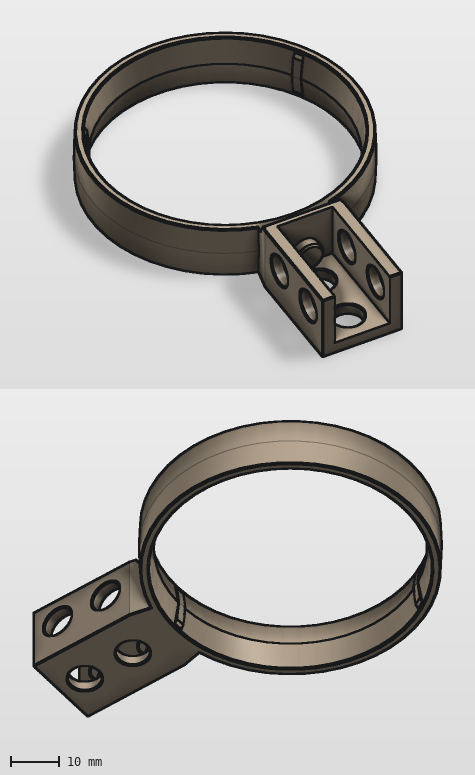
import cadquery as cq

RING_HEIGHT = 12.5
MID_HEIGHT = RING_HEIGHT / 2
OUTER_RADIUS_MID = 31.22
OUTER_RADIUS_END = 31.0
INNER_RADIUS_MID = 28.1
INNER_RADIUS_END = 29.2
EDGE_CHAMFER = 0.3

RIB_COUNT = 3
RIB_WIDTH = 2.2
RIB_RADIUS_MID = 27.9
RIB_RADIUS_END = 28.45
RIB_FACE_HEIGHT = 9.1
RIB_FULL_HEIGHT = 11.1
RIB_ROOT_RADIUS = 29

TOTAL_LENGTH = 90.6
CLEVIS_START = 34.4
CLEVIS_END = TOTAL_LENGTH - OUTER_RADIUS_MID
CLEVIS_WIDTH = 18.7
CLEVIS_HEIGHT = 15.6
WALL_THICKNESS = 2.9
CLEVIS_CHAMFER = 0.2
SLOT_START = 34.5
SLOT_WIDTH = CLEVIS_WIDTH - 2 * WALL_THICKNESS

NECK_ROOT = 29.9
NECK_ROOT_WIDTH = 16.7
STEP_START = 31.3
STEP_END = 33.2

HOLE_DIAMETER = 7.0
HOLE_SPACING = 12.4
FIRST_HOLE_X = 40.7
ARM_HOLE_Z = 9.3

BOSS_DIAMETER = 6.4
BOSS_LENGTH = 2.5
BOSS_CHAMFER = 0.45


def double_cone(radius_mid, radius_end):
    """Solid as tall as the ring whose radius changes linearly to mid height and back."""
    return (
        cq.Workplane("XZ")
        .polyline([
            (0, 0),
            (radius_end, 0),
            (radius_mid, MID_HEIGHT),
            (radius_end, RING_HEIGHT),
            (0, RING_HEIGHT),
        ])
        .close()
        .revolve(360, (0, 0), (0, 1))
    )


def ring_body():
    return double_cone(OUTER_RADIUS_MID, OUTER_RADIUS_END).faces("<Z or >Z").chamfer(EDGE_CHAMFER)


def bore():
    """Hourglass opening of the ring with a chamfer at each mouth."""
    mouth_radius = INNER_RADIUS_END + EDGE_CHAMFER
    mouth = (
        cq.Workplane("XY")
        .circle(mouth_radius)
        .workplane(offset=EDGE_CHAMFER)
        .circle(INNER_RADIUS_END)
        .loft()
    )
    top_mouth = mouth.mirror("XY", (0, 0, MID_HEIGHT))
    return double_cone(INNER_RADIUS_MID, INNER_RADIUS_END).union(mouth).union(top_mouth)


def ribs():
    """Equally spaced upright ribs with a slanted face at each end."""
    face_half = RIB_FACE_HEIGHT / 2
    full_half = RIB_FULL_HEIGHT / 2
    root = RIB_ROOT_RADIUS + EDGE_CHAMFER
    rib = (
        cq.Workplane("XZ")
        .polyline([
            (root, MID_HEIGHT - full_half),
            (RIB_ROOT_RADIUS, MID_HEIGHT - full_half),
            (RIB_RADIUS_END, MID_HEIGHT - face_half),
            (RIB_RADIUS_MID, MID_HEIGHT),
            (RIB_RADIUS_END, MID_HEIGHT + face_half),
            (RIB_ROOT_RADIUS, MID_HEIGHT + full_half),
            (root, MID_HEIGHT + full_half),
        ])
        .close()
        .extrude(RIB_WIDTH / 2, both=True)
    )
    group = rib
    for index in range(1, RIB_COUNT):
        group = group.union(rib.rotate((0, 0, 0), (0, 0, 1), index * 360 / RIB_COUNT))
    return group


def neck_and_clevis():
    """Common volume of the plan outline and the side outline, outer edges chamfered."""
    half_root = NECK_ROOT_WIDTH / 2
    half_width = CLEVIS_WIDTH / 2
    plan = (
        cq.Workplane("XY")
        .polyline([
            (INNER_RADIUS_END, -half_root),
            (NECK_ROOT, -half_root),
            (CLEVIS_START, -half_width),
            (CLEVIS_END, -half_width),
            (CLEVIS_END, half_width),
            (CLEVIS_START, half_width),
            (NECK_ROOT, half_root),
            (INNER_RADIUS_END, half_root),
        ])
        .close()
        .extrude(CLEVIS_HEIGHT)
    )
    side = (
        cq.Workplane("XZ")
        .polyline([
            (0, 0),
            (CLEVIS_END, 0),
            (CLEVIS_END, CLEVIS_HEIGHT),
            (STEP_END, CLEVIS_HEIGHT),
            (STEP_START, RING_HEIGHT),
            (0, RING_HEIGHT),
        ])
        .close()
        .extrude(CLEVIS_WIDTH, both=True)
    )
    body = plan.intersect(side)
    return body.faces(">X or >Z or <Z").edges().chamfer(CLEVIS_CHAMFER)


def slot():
    return (
        cq.Workplane("XY")
        .box(CLEVIS_END - SLOT_START, SLOT_WIDTH, CLEVIS_HEIGHT, centered=(False, True, False))
        .translate((SLOT_START, 0, WALL_THICKNESS))
    )


def boss():
    return (
        cq.Workplane("YZ", origin=(SLOT_START, 0, MID_HEIGHT))
        .circle(BOSS_DIAMETER / 2)
        .extrude(BOSS_LENGTH)
        .faces(">X")
        .chamfer(BOSS_CHAMFER)
    )


def wall_hole():
    """Cutter through one wall thickness along Z, flared at both ends."""
    radius = HOLE_DIAMETER / 2
    flare = (
        cq.Workplane("XY")
        .circle(radius + EDGE_CHAMFER)
        .workplane(offset=EDGE_CHAMFER)
        .circle(radius)
        .loft()
    )
    pin = cq.Workplane("XY").circle(radius).extrude(WALL_THICKNESS)
    return pin.union(flare).union(flare.mirror("XY", (0, 0, WALL_THICKNESS / 2)))


def holes():
    """Cutters for the two stations, each piercing the floor and both arms."""
    floor_hole = wall_hole()
    arm_hole = (
        wall_hole()
        .rotate((0, 0, 0), (1, 0, 0), 90)
        .translate((0, CLEVIS_WIDTH / 2, ARM_HOLE_Z))
    )
    first_station = (
        floor_hole
        .union(arm_hole)
        .union(arm_hole.mirror("XZ"))
        .translate((FIRST_HOLE_X, 0, 0))
    )
    return first_station.union(first_station.translate((HOLE_SPACING, 0, 0)))


result = (
    ring_body()
    .union(neck_and_clevis())
    .cut(slot())
    .union(boss())
    .cut(holes())
    .cut(bore())
    .union(ribs())
)